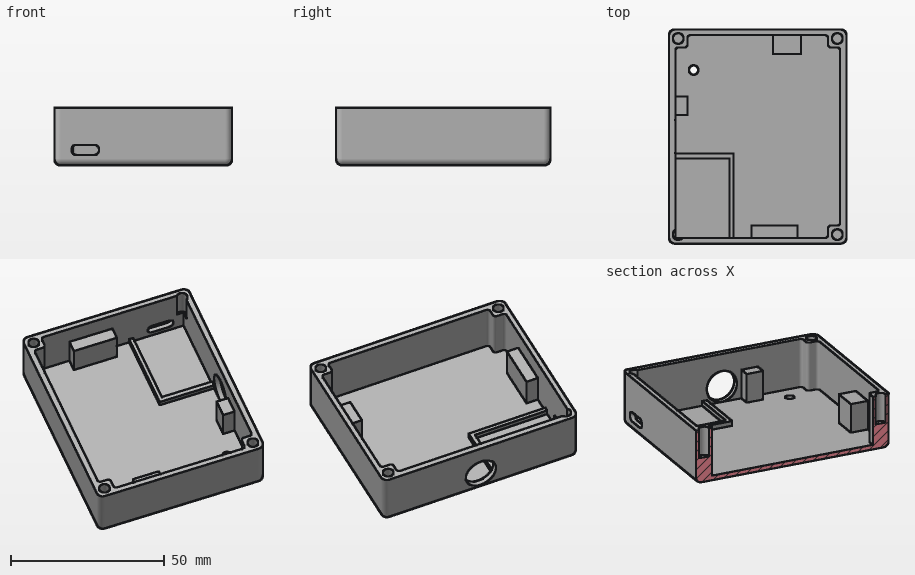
import cadquery as cq

WIDTH = 58.0
LENGTH = 70
HEIGHT = 18.9
EDGE_RADIUS = 2.1
FLOOR = 1.8
SIDE_WALL = 2.1
END_WALL = 1.9

POST_X = 4.0
POST_Y = 4.05
POST_FILLET = 1.0
SCREW_X = 26.0
SCREW_Y = 32.0
SCREW_DIAMETER = 3.5
SCREW_DEPTH = 10.0

BLOCK_HEIGHT = 10.15
REAR_BLOCK_X = 5.05
REAR_BLOCK_WIDTH = 9.0
REAR_BLOCK_DEPTH = 6.15
SIDE_BLOCK_Y = 7.1
SIDE_BLOCK_LENGTH = 5.95
FRONT_BLOCK_X = -2.0
FRONT_BLOCK_WIDTH = 15.05

BAY_WIDTH = 17.65
BAY_LENGTH = 26.0
RIM_SIDE = 1.4
RIM_END = 1.7
RIM_HEIGHT = 1.7

ROUND_DIAMETER = 10.85
ROUND_Z = 7.35
SLOT_X = -18.9
SLOT_Z = 5.1
SLOT_LENGTH = 9.0
SLOT_HEIGHT = 3.3
FLOOR_HOLE_X = -20.9
FLOOR_HOLE_Y = 21.7
FLOOR_HOLE_DIAMETER = 3.0

INNER_X = WIDTH / 2 - SIDE_WALL
INNER_Y = LENGTH / 2 - END_WALL
CAVITY_HEIGHT = HEIGHT - FLOOR


def floor_box(x, y, width, length, height):
    """Box standing on the floor, placed by its left front corner."""
    return cq.Workplane("XY").box(width, length, height, centered=False).translate((x, y, FLOOR))


def make_shell():
    shell = cq.Workplane("XY").box(WIDTH, LENGTH, HEIGHT, centered=(True, True, False))
    return shell.edges("|Z").fillet(EDGE_RADIUS).faces("<Z").edges().fillet(EDGE_RADIUS)


def make_cavity():
    """Inner space with a rounded notch left solid at each corner for a post."""
    cavity = floor_box(-INNER_X, -INNER_Y, 2 * INNER_X, 2 * INNER_Y, CAVITY_HEIGHT)
    for side in (-1, 1):
        for end in (-1, 1):
            notch = floor_box(-POST_X, -POST_Y, 2 * POST_X, 2 * POST_Y, CAVITY_HEIGHT)
            cavity = cavity.cut(notch.translate((side * INNER_X, end * INNER_Y, 0)))
    return cavity.edges("|Z").fillet(POST_FILLET)


def make_blocks():
    rear_y = INNER_Y - REAR_BLOCK_DEPTH
    rear = floor_box(REAR_BLOCK_X, rear_y, REAR_BLOCK_WIDTH, REAR_BLOCK_DEPTH, BLOCK_HEIGHT)
    side = floor_box(-INNER_X, SIDE_BLOCK_Y, POST_X, SIDE_BLOCK_LENGTH, BLOCK_HEIGHT)
    front = floor_box(FRONT_BLOCK_X, -INNER_Y, FRONT_BLOCK_WIDTH, POST_Y, BLOCK_HEIGHT)
    return rear.union(side).union(front)


def make_openings():
    round_opening = (
        cq.Workplane("YZ", origin=(-WIDTH / 2, 0, ROUND_Z))
        .circle(ROUND_DIAMETER / 2)
        .extrude(SIDE_WALL)
    )
    slot = (
        cq.Workplane("XZ", origin=(SLOT_X, -INNER_Y, SLOT_Z))
        .slot2D(SLOT_LENGTH, SLOT_HEIGHT)
        .extrude(END_WALL)
    )
    floor_hole = (
        cq.Workplane("XY")
        .center(FLOOR_HOLE_X, FLOOR_HOLE_Y)
        .circle(FLOOR_HOLE_DIAMETER / 2)
        .extrude(FLOOR)
    )
    return round_opening.union(slot).union(floor_hole)


screw_holes = (
    cq.Workplane("XY", origin=(0, 0, HEIGHT - SCREW_DEPTH))
    .rect(2 * SCREW_X, 2 * SCREW_Y, forConstruction=True)
    .vertices()
    .circle(SCREW_DIAMETER / 2)
    .extrude(SCREW_DEPTH)
)
rim = floor_box(-INNER_X, -INNER_Y, BAY_WIDTH + RIM_SIDE, BAY_LENGTH + RIM_END, RIM_HEIGHT)
bay = floor_box(-INNER_X, -INNER_Y, BAY_WIDTH, BAY_LENGTH, CAVITY_HEIGHT)

result = make_shell().cut(make_cavity()).union(make_blocks()).union(rim)
result = result.cut(bay).cut(screw_holes).cut(make_openings())